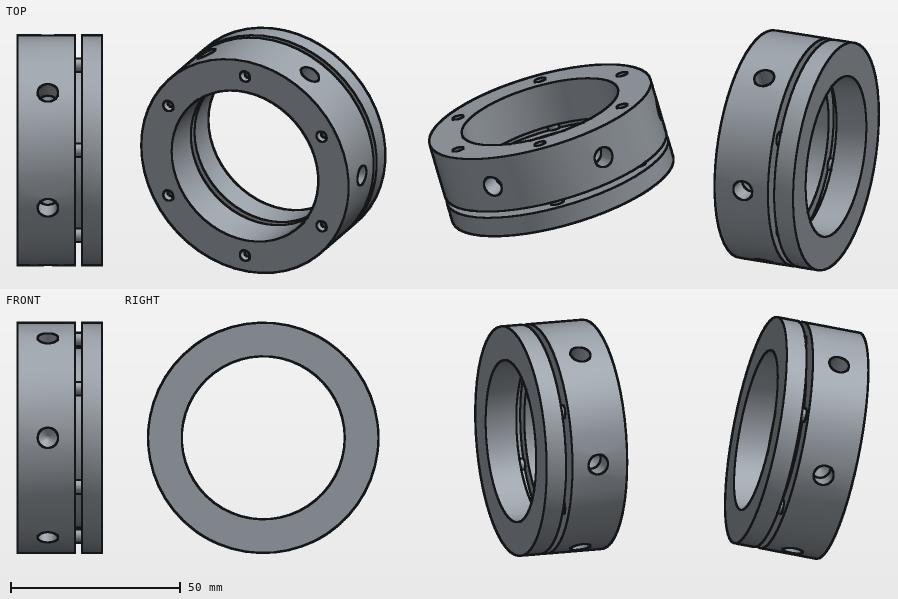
import cadquery as cq
import math

overall_length = 25.0
outer_radius = 34.0
bore_radius = 24.0
housing_length = 17.0

outer_groove_width = 2.0
neck_radius = 26.5
flange_start = housing_length + outer_groove_width

bore_groove_start = 13.0
bore_groove_width = 2.5
bore_groove_end = bore_groove_start + bore_groove_width
bore_groove_radius = 28.0

feature_count = 6
feature_step = 360.0 / feature_count
pin_circle_radius = 29.0
pin_diameter = 4.0
pin_start = 3.0
narrow_hole_diameter = 3.3

radial_hole_diameter = 6.0
radial_hole_position = 9.0
radial_hole_depth = 7.0
drill_point_angle = 118.0

clearance = 1.0


def tube(start, end, inner, outer):
    """Ring along the X axis between two positions."""
    return cq.Workplane("YZ", origin=(start, 0, 0)).circle(outer).circle(inner).extrude(end - start)


def axial_rod(start, end, diameter):
    """Round rod along X between two positions, at the top of the pin circle."""
    workplane = cq.Workplane("YZ", origin=(start, 0, pin_circle_radius))
    return workplane.circle(diameter / 2).extrude(end - start)


def around_axis(shape, index):
    """Copy of a shape turned about the X axis to one of the equally spaced places."""
    return shape.rotate((0, 0, 0), (1, 0, 0), index * feature_step)


def make_radial_drill():
    """Drill shape on the +Y side: a cylinder that ends in a cone pointing at the axis."""
    radius = radial_hole_diameter / 2
    point_length = radius / math.tan(math.radians(drill_point_angle / 2))
    shoulder = outer_radius - radial_hole_depth
    top = outer_radius + clearance
    half_profile = [
        (0, shoulder - point_length),
        (radius, shoulder),
        (radius, top),
        (0, top),
    ]
    drill = cq.Workplane("XY").polyline(half_profile).close().revolve(360, (0, 0, 0), (0, 1, 0))
    return drill.translate((radial_hole_position, 0, 0))


def make_ring():
    """Housing and flange in one piece, with its grooves, pin holes and radial holes."""
    ring = tube(0, overall_length, bore_radius, outer_radius)
    ring = ring.cut(tube(housing_length, flange_start, neck_radius, outer_radius + clearance))
    ring = ring.cut(
        tube(bore_groove_start, bore_groove_end, bore_radius - clearance, bore_groove_radius)
    )

    narrow_hole = axial_rod(0, pin_start, narrow_hole_diameter)
    pin_hole = axial_rod(pin_start, flange_start, pin_diameter)
    radial_drill = make_radial_drill()
    for index in range(feature_count):
        for cutter in (narrow_hole, pin_hole, radial_drill):
            ring = ring.cut(around_axis(cutter, index))
    return ring


def make_pin(index):
    """Plain pin that ends against the flange."""
    return around_axis(axial_rod(pin_start, flange_start, pin_diameter), index)


ring = make_ring()
pins = [make_pin(index) for index in range(feature_count)]

result = cq.Compound.makeCompound([ring.val(), *[pin.val() for pin in pins]])